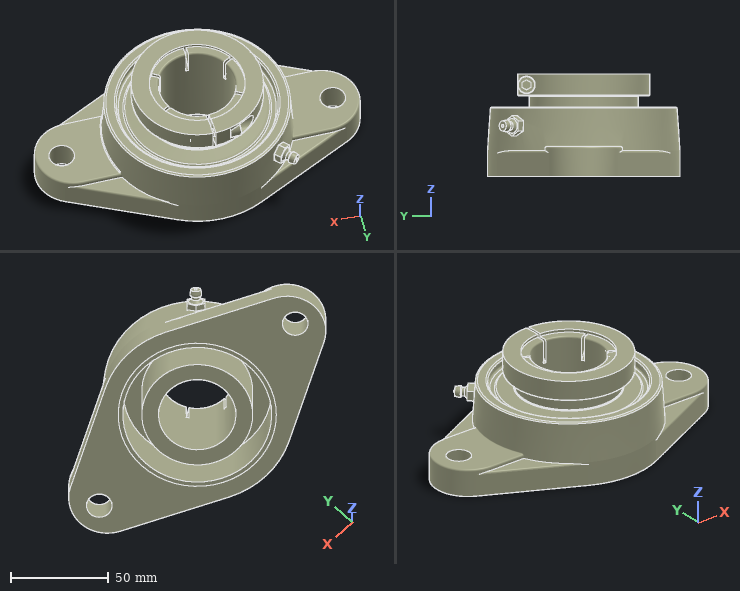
import cadquery as cq
import math


flange_length = 172.0
boss_base_radius = 49.5
lobe_radius = 20.0
lobe_offset = flange_length / 2 - lobe_radius
bolt_offset = 72.0
bolt_hole_diameter = 13.0
web_height = 13.2
pad_height = 15.5
flange_edge_fillet = 1.2

boss_top_radius = 48.0
boss_height = 35.8
boss_chamfer_width = 1.0
boss_chamfer_height = 0.5
boss_root_fillet = 0.5
seat_radius = 40.6
seat_mouth_diameter = 85.1
seat_throat_diameter = 83.2
seat_mouth_depth = 0.7
seat_fillet = seat_throat_diameter / 2 - seat_radius

outer_ring_height = 31.3
outer_ring_bore_radius = 38.2
seal_shoulder_radius = 37.3
seal_shoulder_height = 0.9
seal_flat_diameter = 72.0
seal_rise = 0.5
seal_thickness = 2.5

shaft_bore_diameter = 39.7
inner_ring_diameter = 57.0
neck_diameter = 56.0
neck_start = 33.2
edge_chamfer = 0.3
sleeve_radius = 24.6
inner_ring_height = 50.9
bore_fillet = 1.2
slot_width = 1.48
slot_count = 6
slot_floor = 37.7

collar_diameter = 68.0
collar_bottom = 41.5
collar_top = 52.6
screw_pocket_diameter = 9.0
screw_offset = 29.4
screw_height = (collar_bottom + collar_top) / 2
screw_head_diameter = 8.5
screw_shank_diameter = 4.1
screw_head_start = -14.5
screw_head_end = -9.0
screw_tip = 12.0
socket_across_flats = 4.5
socket_depth = 2.5

nipple_angle = 135.0
nipple_height = 26.0
nipple_hex_corners = 10.5
nipple_base = 48.2
nipple_hex_end = 52.1
nipple_cone_radius = 3.8
nipple_neck_start = 53.7
nipple_neck_end = 55.2
nipple_neck_diameter = 4.6
nipple_bead_start = 55.7
nipple_bead_end = 56.8
nipple_bead_diameter = 6.0
nipple_tip = 58.8
nipple_tip_radius = 2.5
nipple_ball_diameter = 1.48


def revolved(points):
    """Turn a closed (radius, height) outline around Z."""
    return cq.Workplane("XZ").polyline(points).close().revolve(360, (0, 0, 0), (0, 1, 0))


def tube(outer_radius, inner_radius, bottom, top):
    ring = cq.Workplane("XY").workplane(offset=bottom).circle(outer_radius)
    if inner_radius > 0:
        ring = ring.circle(inner_radius)
    return ring.extrude(top - bottom)


def flange_ears():
    """Two rounded ears whose straight flanks run tangent to the boss."""
    sine = (boss_base_radius - lobe_radius) / lobe_offset
    cosine = math.sqrt(1 - sine**2)
    hub_x = boss_base_radius * sine
    hub_y = boss_base_radius * cosine
    lobe_x = lobe_offset + lobe_radius * sine
    lobe_y = lobe_radius * cosine
    half_length = flange_length / 2
    plate = (
        cq.Workplane("XY")
        .moveTo(-hub_x, hub_y)
        .threePointArc((0, boss_base_radius), (hub_x, hub_y))
        .lineTo(lobe_x, lobe_y)
        .threePointArc((half_length, 0), (lobe_x, -lobe_y))
        .lineTo(hub_x, -hub_y)
        .threePointArc((0, -boss_base_radius), (-hub_x, -hub_y))
        .lineTo(-lobe_x, -lobe_y)
        .threePointArc((-half_length, 0), (-lobe_x, lobe_y))
        .close()
        .extrude(web_height)
    )
    plate = plate.faces(">Z").edges().fillet(flange_edge_fillet)
    hub = cq.Workplane("XY").rect(2 * hub_x, flange_length).extrude(web_height)
    return plate.cut(hub)


def flange_pad():
    """Raised strip that carries both bolt holes."""
    strip = cq.Workplane("XY").slot2D(flange_length, 2 * lobe_radius).extrude(pad_height)
    return strip.faces(">Z").edges().fillet(flange_edge_fillet)


def make_seat():
    """Space for the bearing: a straight bore, a rounded shelf at ring height and a bevelled mouth."""
    throat_radius = seat_throat_diameter / 2
    arc_sag = seat_fillet * (1 - math.cos(math.pi / 4))
    return (
        cq.Workplane("XZ")
        .lineTo(seat_radius, 0)
        .lineTo(seat_radius, outer_ring_height)
        .threePointArc(
            (throat_radius - arc_sag, outer_ring_height + arc_sag),
            (throat_radius, outer_ring_height + seat_fillet),
        )
        .lineTo(throat_radius, boss_height - seat_mouth_depth)
        .lineTo(seat_mouth_diameter / 2, boss_height)
        .lineTo(0, boss_height)
        .close()
        .revolve(360, (0, 0, 0), (0, 1, 0))
    )


def make_housing(nipple):
    boss = revolved([
        (0, 0),
        (boss_base_radius, 0),
        (boss_base_radius, web_height),
        (boss_top_radius, boss_height - boss_chamfer_height),
        (boss_top_radius - boss_chamfer_width, boss_height),
        (0, boss_height),
    ])
    bolt_holes = (
        cq.Workplane("XY")
        .pushPoints([(-bolt_offset, 0), (bolt_offset, 0)])
        .circle(bolt_hole_diameter / 2)
        .extrude(pad_height)
    )
    body = flange_ears().union(boss).union(flange_pad())
    for side in (-1, 1):
        root = cq.selectors.NearestToPointSelector((side * boss_base_radius, 0, pad_height))
        body = body.edges(root).fillet(boss_root_fillet)
    return body.cut(make_seat()).cut(bolt_holes).cut(nipple)


def make_outer_ring():
    return tube(seat_radius, outer_ring_bore_radius, 0, outer_ring_height)


def make_seal():
    """Disc that rises towards the shaft, with a sloped edge against the outer ring."""
    shoulder_top = outer_ring_height + seal_shoulder_height
    bottom = outer_ring_height - seal_thickness
    return revolved([
        (inner_ring_diameter / 2, bottom),
        (outer_ring_bore_radius, bottom),
        (outer_ring_bore_radius, outer_ring_height),
        (seal_shoulder_radius, shoulder_top),
        (seal_flat_diameter / 2, shoulder_top),
        (inner_ring_diameter / 2, shoulder_top + seal_rise),
    ])


def make_inner_ring():
    """Ring whose thin upper sleeve is split into fingers that the collar squeezes."""
    bore_radius = shaft_bore_diameter / 2
    ring = revolved([
        (bore_radius, 0),
        (inner_ring_diameter / 2, 0),
        (inner_ring_diameter / 2, neck_start),
        (neck_diameter / 2, neck_start),
        (neck_diameter / 2, collar_bottom - edge_chamfer),
        (neck_diameter / 2 - edge_chamfer, collar_bottom),
        (sleeve_radius, collar_bottom),
        (sleeve_radius, inner_ring_height),
        (bore_radius, inner_ring_height),
    ])
    ring = ring.faces(">Z").edges(cq.selectors.RadiusNthSelector(0)).fillet(bore_fillet)

    floor_rise = sleeve_radius - bore_radius
    slot_profile = (
        cq.Workplane("XZ")
        .moveTo(bore_radius - floor_rise, slot_floor - floor_rise)
        .lineTo(sleeve_radius + floor_rise, slot_floor + 2 * floor_rise)
        .lineTo(sleeve_radius + floor_rise, inner_ring_height)
        .lineTo(bore_radius - floor_rise, inner_ring_height)
        .close()
        .extrude(slot_width / 2, both=True)
    )
    slot = slot_profile.intersect(tube(sleeve_radius, 0, 0, inner_ring_height))
    for index in range(slot_count):
        angle = 90 + index * 360 / slot_count
        ring = ring.cut(slot.rotate((0, 0, 0), (0, 0, 1), angle))
    return ring


def screw_cylinder(diameter, start, end):
    """Cylinder along the clamp screw axis, between two X positions."""
    plane = cq.Workplane("YZ", origin=(start, screw_offset, screw_height))
    return plane.circle(diameter / 2).extrude(end - start)


def make_collar():
    """Clamp ring, split on its +Y side and drawn together by the screw."""
    collar = tube(collar_diameter / 2, sleeve_radius, collar_bottom, collar_top)
    collar = collar.faces("<Z").edges(cq.selectors.RadiusNthSelector(-1)).chamfer(edge_chamfer)
    split = cq.Workplane("XY").workplane(offset=collar_bottom)
    split = split.rect(slot_width, collar_diameter).extrude(collar_top - collar_bottom)
    split = split.translate((0, collar_diameter / 2, 0))
    head_pocket = screw_cylinder(screw_pocket_diameter, -collar_diameter / 2, screw_head_end)
    shank_hole = screw_cylinder(screw_shank_diameter, screw_head_end, screw_tip)
    return collar.cut(split).cut(head_pocket).cut(shank_hole)


def make_screw():
    """Socket-head screw that lies along X."""
    head = screw_cylinder(screw_head_diameter, screw_head_start, screw_head_end)
    shank = screw_cylinder(screw_shank_diameter, screw_head_end, screw_tip)
    socket_corners = socket_across_flats / math.cos(math.pi / 6)
    socket = (
        cq.Workplane("YZ", origin=(screw_head_start, screw_offset, screw_height))
        .transformed(rotate=(0, 0, 90))
        .polygon(6, socket_corners)
        .extrude(socket_depth)
    )
    return head.union(shank).cut(socket)


def make_nipple():
    """Hexagon and turned head, drawn upright along Z and then laid on its radial axis."""
    hexagon = cq.Workplane("XY").workplane(offset=nipple_base)
    hexagon = hexagon.polygon(6, nipple_hex_corners).extrude(nipple_hex_end - nipple_base)
    head = revolved([
        (0, nipple_hex_end),
        (nipple_cone_radius, nipple_hex_end),
        (nipple_neck_diameter / 2, nipple_neck_start),
        (nipple_neck_diameter / 2, nipple_neck_end),
        (nipple_bead_diameter / 2, nipple_bead_start),
        (nipple_bead_diameter / 2, nipple_bead_end),
        (nipple_tip_radius, nipple_tip),
        (0, nipple_tip),
    ])
    ball = cq.Workplane("XY").sphere(nipple_ball_diameter / 2).translate((0, 0, nipple_tip))
    upright = hexagon.union(head).union(ball)
    lying = upright.rotate((0, 0, 0), (0, 1, 0), 90)
    return lying.rotate((0, 0, 0), (0, 0, 1), nipple_angle).translate((0, 0, nipple_height))


nipple = make_nipple()
housing = make_housing(nipple)
outer_ring = make_outer_ring()
seal = make_seal()
inner_ring = make_inner_ring()
collar = make_collar()
screw = make_screw()

result = cq.Compound.makeCompound([
    housing.val(),
    outer_ring.val(),
    seal.val(),
    inner_ring.val(),
    collar.val(),
    screw.val(),
    nipple.val(),
])